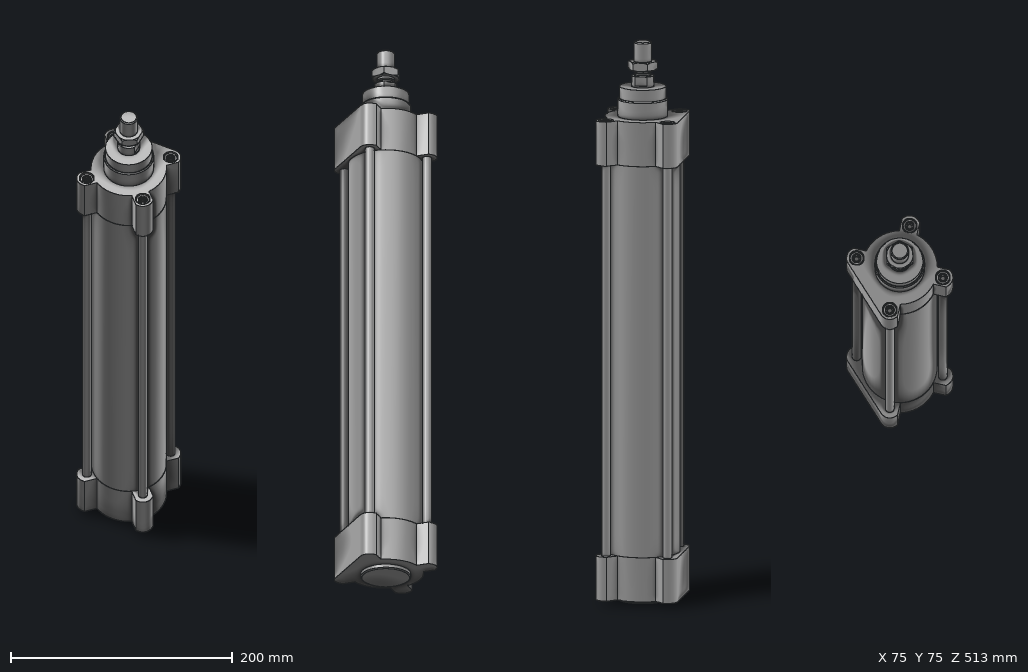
import cadquery as cq
import math

TOTAL_LENGTH = 513.0
BASE_BOSS_HEIGHT = 4.0
HEAD_HEIGHT = 40.5
FRONT_HEAD_TOP = 445.0
REAR_HEAD_TOP = BASE_BOSS_HEIGHT + HEAD_HEIGHT
FRONT_HEAD_BOTTOM = FRONT_HEAD_TOP - HEAD_HEIGHT

HEAD_WIDTH = 75.0
HEAD_CORE_DIAMETER = 68.0
HEAD_CORNER_RADIUS = 9.0
LUG_WIDTH = 16.5

BARREL_DIAMETER = 67.5
TIE_ROD_DIAMETER = 8.0
TIE_ROD_OFFSET = 28.0

SCREW_RECESS_DIAMETER = 13.5
SCREW_RECESS_DEPTH = 3.0
SCREW_HEAD_DIAMETER = 12.0
SCREW_HEAD_HEIGHT = 2.0
SOCKET_STEPS = ((8.0, 1.5), (6.5, 3.0), (4.45, 5.0))

COLLAR_DIAMETER = 45.0
COLLAR_TOP = 461.5
COLLAR_CHAMFER = 1.0
NOSE_DIAMETER = 42.0
NOSE_TOP = 472.0

ROD_DIAMETER = 20.0
ROD_BOTTOM = FRONT_HEAD_BOTTOM
ROD_SHOULDER = 482.0
ROD_FLATS_WIDTH = 17.0
ROD_FLATS_BOTTOM = 473.5
NECK_DIAMETER = 14.0
NECK_FLARE_WIDTH = 0.5
NECK_FLARE_HEIGHT = 1.0
THREAD_DIAMETER = 16.0
THREAD_BOTTOM = 485.5
THREAD_CHAMFER = 1.0

NUT_WIDTH = 23.5
NUT_HEIGHT = 7.5
NUT_BOTTOM = 487.5
NUT_CHAMFER_HEIGHT = 1.0
NUT_CHAMFER_WIDTH = 1.5


def disc(diameter, bottom, top):
    """Cylinder about the Z axis between two heights."""
    return cq.Workplane("XY").workplane(offset=bottom).circle(diameter / 2).extrude(top - bottom)


def make_head(bottom):
    """Cylinder head: round core, diagonal lugs and a flat +Y side, trimmed to a rounded square."""
    half = HEAD_WIDTH / 2
    diagonal = HEAD_WIDTH * math.sqrt(2)
    plane = cq.Workplane("XY").workplane(offset=bottom)
    square = plane.rect(HEAD_WIDTH, HEAD_WIDTH).extrude(HEAD_HEIGHT).edges("|Z").fillet(HEAD_CORNER_RADIUS)
    head = plane.circle(HEAD_CORE_DIAMETER / 2).extrude(HEAD_HEIGHT)
    for angle in (45, 135):
        band = cq.Workplane("XY").rect(diagonal, LUG_WIDTH).extrude(HEAD_HEIGHT)
        head = head.union(band.rotate((0, 0, 0), (0, 0, 1), angle).translate((0, 0, bottom)))
    flat_side = plane.polyline([(0, 0), (half, half), (-half, half)]).close().extrude(HEAD_HEIGHT)
    return head.union(flat_side).intersect(square)


def tie_rod_discs(diameter, bottom, top):
    """One cylinder on each tie rod axis."""
    spacing = 2 * TIE_ROD_OFFSET
    plane = cq.Workplane("XY").workplane(offset=bottom)
    centers = plane.rect(spacing, spacing, forConstruction=True).vertices()
    return centers.circle(diameter / 2).extrude(top - bottom)


def make_cylinder():
    """Heads, barrel, tie rods, collar and rear boss, with a bore for the piston rod."""
    body = disc(BARREL_DIAMETER, REAR_HEAD_TOP, FRONT_HEAD_BOTTOM)
    for bottom in (BASE_BOSS_HEIGHT, FRONT_HEAD_BOTTOM):
        body = body.union(make_head(bottom))
    body = body.union(tie_rod_discs(TIE_ROD_DIAMETER, REAR_HEAD_TOP, FRONT_HEAD_BOTTOM))

    recess_floor = FRONT_HEAD_TOP - SCREW_RECESS_DEPTH
    head_top = recess_floor + SCREW_HEAD_HEIGHT
    body = body.cut(tie_rod_discs(SCREW_RECESS_DIAMETER, recess_floor, FRONT_HEAD_TOP))
    body = body.union(tie_rod_discs(SCREW_HEAD_DIAMETER, recess_floor, head_top))
    for diameter, depth in SOCKET_STEPS:
        body = body.cut(tie_rod_discs(diameter, head_top - depth, head_top))

    collar = disc(COLLAR_DIAMETER, FRONT_HEAD_TOP, COLLAR_TOP).faces(">Z").chamfer(COLLAR_CHAMFER)
    boss = disc(COLLAR_DIAMETER, 0, BASE_BOSS_HEIGHT).faces("<Z").chamfer(COLLAR_CHAMFER)
    body = body.union(collar).union(disc(NOSE_DIAMETER, COLLAR_TOP, NOSE_TOP)).union(boss)

    return body.cut(disc(ROD_DIAMETER, ROD_BOTTOM, NOSE_TOP))


def make_piston_rod():
    """Rod with two wrench flats, a thread relief neck and a threaded end."""
    rod_radius = ROD_DIAMETER / 2
    neck_radius = NECK_DIAMETER / 2
    thread_radius = THREAD_DIAMETER / 2
    thread_end_radius = thread_radius - THREAD_CHAMFER
    profile = [
        (0, ROD_BOTTOM),
        (rod_radius, ROD_BOTTOM),
        (rod_radius, ROD_SHOULDER),
        (neck_radius + NECK_FLARE_WIDTH, ROD_SHOULDER),
        (neck_radius, ROD_SHOULDER + NECK_FLARE_HEIGHT),
        (neck_radius, THREAD_BOTTOM - THREAD_CHAMFER),
        (thread_radius, THREAD_BOTTOM),
        (thread_radius, TOTAL_LENGTH - THREAD_CHAMFER),
        (thread_end_radius, TOTAL_LENGTH),
        (0, TOTAL_LENGTH),
    ]
    rod = cq.Workplane("XZ").polyline(profile).close().revolve(360, (0, 0), (0, 1))
    flats_height = ROD_SHOULDER - ROD_FLATS_BOTTOM
    flat_center = (ROD_FLATS_WIDTH + ROD_DIAMETER) / 2
    flats = (
        cq.Workplane("XY")
        .workplane(offset=ROD_FLATS_BOTTOM)
        .pushPoints([(-flat_center, 0), (flat_center, 0)])
        .rect(ROD_DIAMETER, ROD_DIAMETER)
        .extrude(flats_height)
    )
    return rod.cut(flats)


def make_nut():
    """Hexagon lock nut with corners pointing along Y."""
    across_corners = NUT_WIDTH / math.cos(math.pi / 6)
    hexagon = (
        cq.Workplane("XY")
        .workplane(offset=NUT_BOTTOM)
        .transformed(rotate=(0, 0, 90))
        .polygon(6, across_corners)
        .circle(THREAD_DIAMETER / 2)
        .extrude(NUT_HEIGHT)
    )
    envelope = disc(across_corners, NUT_BOTTOM, NUT_BOTTOM + NUT_HEIGHT)
    envelope = envelope.faces("<Z or >Z").chamfer(NUT_CHAMFER_HEIGHT, NUT_CHAMFER_WIDTH)
    return hexagon.intersect(envelope)


cylinder = make_cylinder().solids()
piston_rod = make_piston_rod().solids()
nut = make_nut().solids()

result = cq.Compound.makeCompound([cylinder.val(), piston_rod.val(), nut.val()])